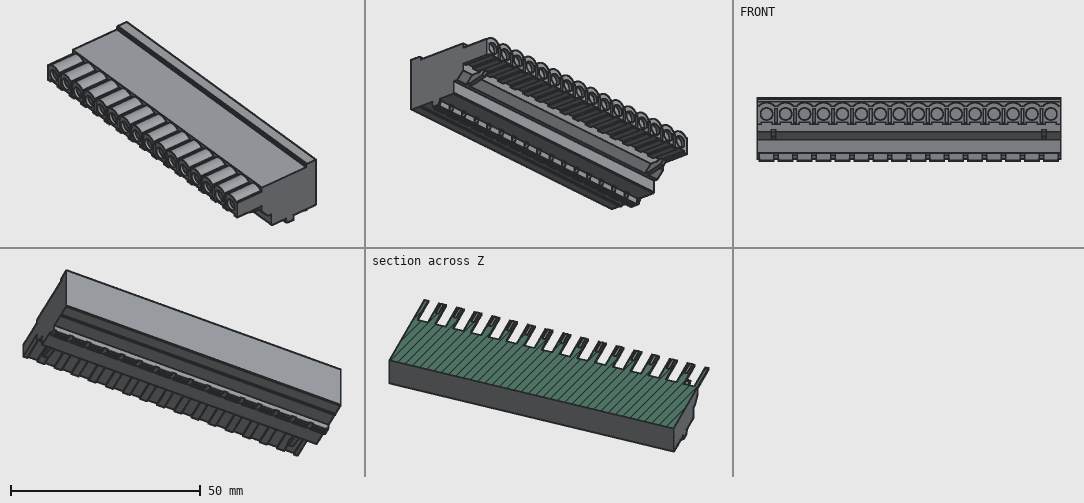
import cadquery as cq

length = 80.1
depth = 26.6
height = 16.7
positions = 16
pitch = 5.0

housing_top = 15.7
housing_bottom = 2.0
housing_front = 8.3
plug_front = 11.5
plug_top = 5.6
bevel_start = 10.4
bevel_top = 7.8
bottom_chamfer = 0.25
rail_depth = 3.4
rail_chamfer = 0.3
rib_inset = 3.2
rib_width = 0.4
rib_height = 0.25

terminal_bottom = 9.7
valley_height = 14.4
crown_height = 15.4
valley_width = 0.7
wire_hole_height = 12.4
wire_hole_diameter = 3.2
wire_hole_depth = 1.0
slot_bottom = 10.1
slot_top = 13.8
slot_depth = 4.0
groove_width = 2.9
groove_height = 0.6

bar_back = 19.15
bar_front = 16.5
bar_bottom = 0.5
bar_bottom_back = 19.0
bar_bottom_front = 17.0
bar_slope_top = 1.5
foot_width = 3.85
foot_depth = 0.65
foot_chamfer = 0.25

hook_width = 1.2
hook_inset = 3.7
hook_bend = (8.8, plug_top)
hook_nose = (4.9, 6.6)
hook_tip = (3.85, 7.7)
hook_crest = (4.9, 8.25)
hook_catch = (6.2, bevel_top)


def extrude_along_x(outline, start, width):
    """Extrude a (y, z) outline towards +X from the given X position."""
    return cq.Workplane("YZ", origin=(start, 0, 0)).polyline(outline).close().extrude(width)


def box(x, y, z, dx, dy, dz):
    """Box given by its minimum corner and its sizes."""
    return cq.Workplane("XY", origin=(x, y, z)).box(dx, dy, dz, centered=False)


def make_housing():
    rail_front = depth - rail_depth
    outline = [
        (depth - bottom_chamfer, housing_bottom),
        (depth, housing_bottom + bottom_chamfer),
        (depth, height),
        (rail_front + rail_chamfer, height),
        (rail_front, height - rail_chamfer),
        (rail_front, housing_top),
        (housing_front, housing_top),
        (housing_front, bevel_top),
        (bevel_start, plug_top),
        (plug_front, plug_top),
        (plug_front, housing_bottom + bottom_chamfer),
        (plug_front + bottom_chamfer, housing_bottom),
    ]
    housing = extrude_along_x(outline, 0, length)
    rib_back = depth - rib_inset
    return housing.union(
        box(0, rib_back - rib_width, housing_bottom - rib_height, length, rib_width, rib_height)
    )


def make_terminal_row():
    """Row of arched terminals joined by flat valleys."""
    half_arch = (pitch - valley_width) / 2
    profile = cq.Workplane("XZ").moveTo(0, terminal_bottom).lineTo(0, valley_height)
    for center in centers:
        profile = profile.lineTo(center - half_arch, valley_height)
        profile = profile.threePointArc((center, crown_height), (center + half_arch, valley_height))
    profile = profile.lineTo(length, valley_height).lineTo(length, terminal_bottom).close()
    return profile.extrude(-housing_front)


def make_terminal_cuts():
    """Wire holes, bottom grooves and the slots between neighbouring terminals."""
    hole_points = [(center, wire_hole_height) for center in centers]
    holes = cq.Workplane("XZ").pushPoints(hole_points).circle(wire_hole_diameter / 2)
    cuts = holes.extrude(-wire_hole_depth)
    for center in centers:
        cuts = cuts.add(
            box(center - groove_width / 2, 0, terminal_bottom, groove_width, housing_front, groove_height)
        )
    for index in range(1, positions):
        slot_left = index * pitch - valley_width / 2
        cuts = cuts.add(box(slot_left, 0, slot_bottom, valley_width, slot_depth, slot_top - slot_bottom))
    return cuts.combine()


def make_bar():
    """Long bar under the plug, its front cut back at each pair of feet."""
    outline = [
        (bar_back, housing_bottom),
        (bar_bottom_back, bar_bottom),
        (bar_bottom_front, bar_bottom),
        (bar_front, bar_slope_top),
        (bar_front, housing_bottom),
    ]
    bar = extrude_along_x(outline, 0, length)
    recess_depth = bar_bottom_front - bar_front
    recess_height = housing_bottom - bar_bottom
    for center in centers:
        left = center - foot_width / 2
        bar = bar.cut(box(left, bar_front, bar_bottom, foot_width, recess_depth, recess_height))
    return bar


def make_feet():
    """Front and rear foot under the bar at every position."""
    feet = cq.Workplane("XY")
    front_outline = [
        (bar_bottom_front, bar_bottom),
        (bar_bottom_front, foot_chamfer),
        (bar_bottom_front + foot_chamfer, 0),
        (bar_bottom_front + foot_depth, 0),
        (bar_bottom_front + foot_depth, bar_bottom),
    ]
    for center in centers:
        left = center - foot_width / 2
        feet = feet.add(extrude_along_x(front_outline, left, foot_width))
        feet = feet.add(box(left, bar_bottom_back - foot_depth, 0, foot_width, foot_depth, bar_bottom))
    return feet.combine()


def make_hook(left):
    outline = [
        (bevel_start, plug_top),
        hook_bend,
        hook_nose,
        hook_tip,
        hook_crest,
        hook_catch,
        (housing_front, bevel_top),
    ]
    return extrude_along_x(outline, left, hook_width)


centers = [(index + 0.5) * pitch for index in range(positions)]
row_length = positions * pitch

result = make_housing().union(make_terminal_row()).cut(make_terminal_cuts())
result = result.union(make_bar()).union(make_feet())
for hook_left in (hook_inset, row_length - hook_inset - hook_width):
    result = result.union(make_hook(hook_left))